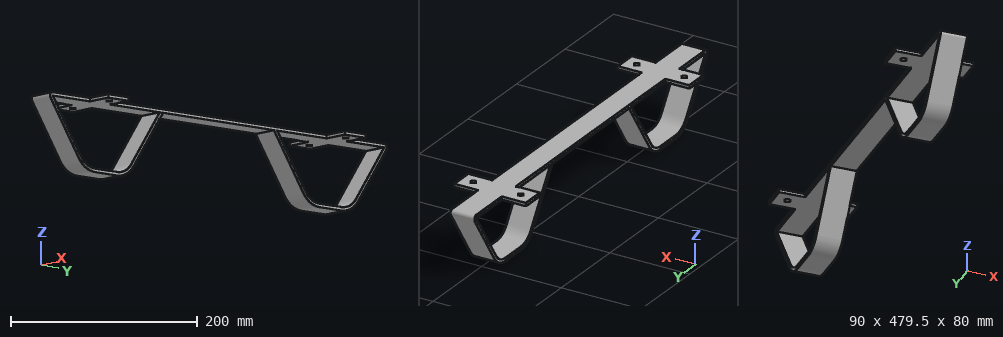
import cadquery as cq
import math

overall_length = 479.5
overall_height = 80.0
overall_width = 90.0
thickness = 4.0
strap_width = 30.0
tab_width = 29.5
tab_position = 168.5
hole_diameter = 6.0
hole_position = 29.7
hoop_position = 159.7
leg_angle = 56.6
inner_bend_radius = 24.0

inner_end = overall_length / 2 - thickness
hoop_depth = overall_height - 2 * thickness


def make_hoop(center_y):
    """Closed bent-strip hoop whose upper run lies in the mounting strap."""
    half_top = inner_end - hoop_position
    half_bottom = half_top - hoop_depth / math.tan(math.radians(leg_angle))
    top_z = -thickness
    bottom_z = top_z - hoop_depth
    opening = (
        cq.Workplane("YZ", origin=(-strap_width / 2, 0, 0))
        .polyline([
            (center_y - half_top, top_z),
            (center_y + half_top, top_z),
            (center_y + half_bottom, bottom_z),
            (center_y - half_bottom, bottom_z),
        ])
        .close()
        .extrude(strap_width)
        .edges("|X and <Z")
        .fillet(inner_bend_radius)
    )
    outline = opening.faces("<X").wires().toPending().offset2D(thickness, "arc")
    return outline.extrude(strap_width, combine=False).cut(opening)


def make_tab(center_y):
    """Cross tab with a screw hole at each end."""
    return (
        cq.Workplane("XY", origin=(0, center_y, -thickness))
        .rect(overall_width, tab_width)
        .pushPoints([(-hole_position, 0), (hole_position, 0)])
        .circle(hole_diameter / 2)
        .extrude(thickness)
    )


result = cq.Workplane("XY").box(
    strap_width, 2 * inner_end, thickness, centered=(True, True, False)
).translate((0, 0, -thickness))

for side in (-1, 1):
    result = result.union(make_hoop(side * hoop_position))
    result = result.union(make_tab(side * tab_position))